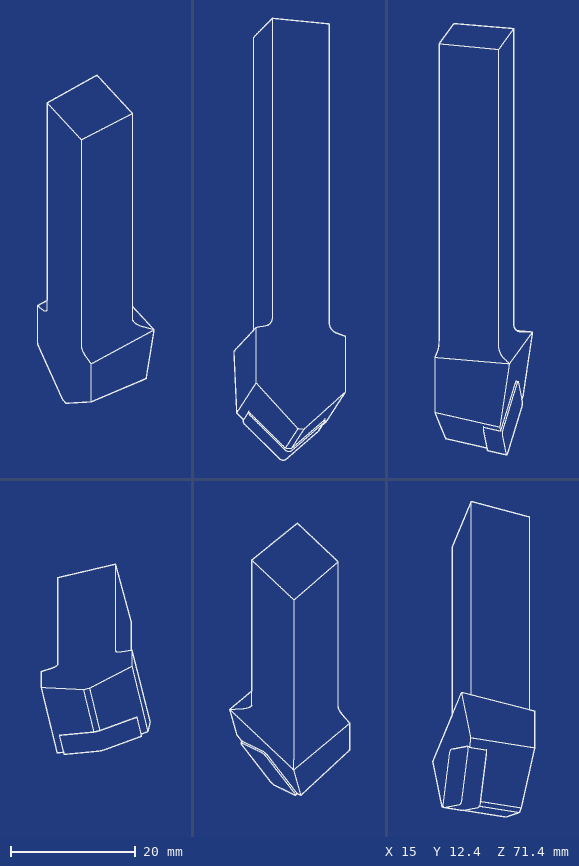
import cadquery as cq
import math


shank_depth = 9.92
shank_width = 9.92
shank_side_taper = 1.0
shank_top = 52.8

head_width = 15.03
head_depth = 12.38
rake_angle = 8.1
shoulder_slope = 15.0
shoulder_fillet = 1.5875
nose_reach = 18.14
nose_flat = 1.0

insert_side = 9.525
insert_corner_radius = 0.8
insert_thickness = 3.18
insert_stand_out = 0.3
insert_tip_reach = 18.695

half_head = head_width / 2
rake = math.radians(rake_angle)
slope = math.radians(shoulder_slope)
overhang = (head_width - shank_width) / 2
cutting_reach = 3 * head_depth


def rake_plane(offset):
    """Plane parallel to the leaning back face; local y runs up the face."""
    normal = cq.Vector(0, math.cos(rake), -math.sin(rake))
    origin = cq.Vector(0, head_depth, 0) + normal * offset
    return cq.Plane(origin=origin, xDir=(-1, 0, 0), normal=normal)


def make_stock():
    """Square-cornered bar, longer than the head, from which the holder is cut."""
    return (
        cq.Workplane("XY")
        .workplane(offset=-cutting_reach)
        .center(0, head_depth / 2)
        .rect(head_width, head_depth)
        .extrude(cutting_reach + shank_top)
    )


def make_point_envelope():
    """Head outline with a flat-nosed right-angled point, square to the back face."""
    half_flat = nose_flat / 2
    side_bottom = half_head - half_flat - nose_reach
    top = cutting_reach + shank_top
    outline = [
        (half_flat, -nose_reach),
        (half_head, side_bottom),
        (half_head, top),
        (-half_head, top),
        (-half_head, side_bottom),
        (-half_flat, -nose_reach),
    ]
    return cq.Workplane(rake_plane(0)).polyline(outline).close().extrude(-cutting_reach)


def shank_face_planes():
    """Working planes at the two sides and the back of the shank, local x pointing outwards."""
    taper = math.radians(shank_side_taper)
    for side in (-1, 1):
        outwards = (side * math.cos(taper), -math.sin(taper), 0)
        along_face = (-math.sin(taper), -side * math.cos(taper), 0)
        yield cq.Plane((side * shank_width / 2, shank_depth, 0), outwards, along_face)
    yield cq.Plane((0, shank_depth, 0), (0, 1, 0), (1, 0, 0))


def make_shank_cutter(plane):
    """Waste beside one shank face, above the root fillet and the sloping shoulder."""
    root_height = overhang * math.tan(slope)
    fillet_center_height = root_height + shoulder_fillet * (1 / math.cos(slope) - math.tan(slope))
    fillet_end = math.pi / 2 - slope

    def on_fillet(angle):
        return (
            shoulder_fillet * (1 - math.cos(angle)),
            fillet_center_height - shoulder_fillet * math.sin(angle),
        )

    reach = 2 * overhang
    return (
        cq.Workplane(plane)
        .moveTo(0, shank_top)
        .lineTo(*on_fillet(0))
        .threePointArc(on_fillet(fillet_end / 2), on_fillet(fillet_end))
        .lineTo(reach, root_height - reach * math.tan(slope))
        .lineTo(reach, shank_top)
        .close()
        .extrude(cutting_reach, both=True)
    )


def make_insert():
    """Square plate with rounded corners, lying parallel to the back face."""
    rounding_loss = insert_corner_radius * (math.sqrt(2) - 1)
    center_to_tip = insert_side / math.sqrt(2) - rounding_loss
    diamond = (
        cq.Sketch()
        .rect(insert_side, insert_side, angle=45)
        .vertices()
        .fillet(insert_corner_radius)
    )
    return (
        cq.Workplane(rake_plane(insert_stand_out))
        .center(0, center_to_tip - insert_tip_reach)
        .placeSketch(diamond)
        .extrude(-insert_thickness)
    )


def make_holder(seated_insert):
    """Shank and head in one piece, with a pocket that fits the insert."""
    body = make_stock().intersect(make_point_envelope())
    for plane in shank_face_planes():
        body = body.cut(make_shank_cutter(plane))
    return body.cut(seated_insert)


insert = make_insert()
holder = make_holder(insert)

result = cq.Compound.makeCompound([holder.val(), insert.val()])